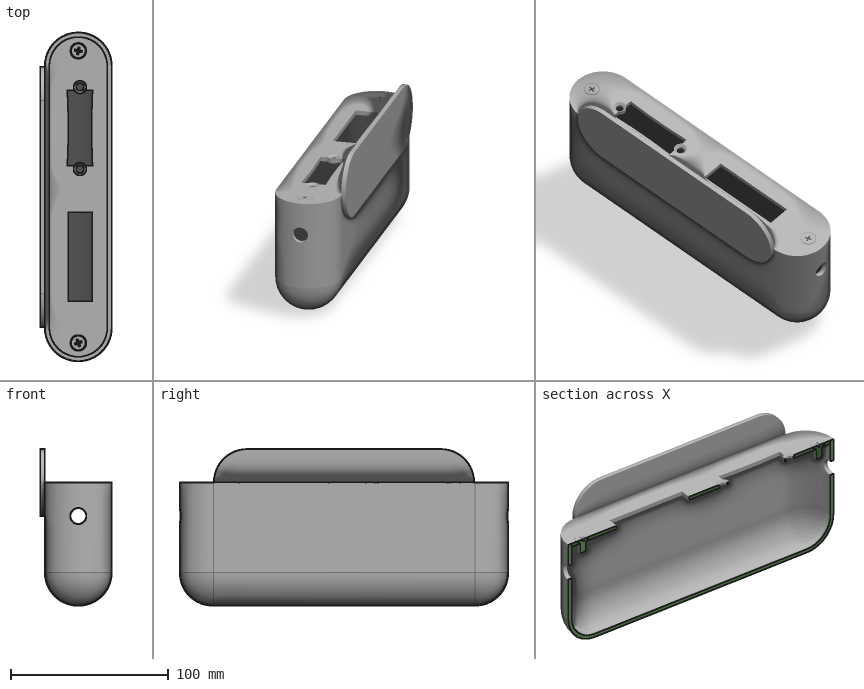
import cadquery as cq
import math

LENGTH = 208.5
RADIUS = 21.3
HEIGHT = 78.2
WALL = 3.0
END_Y = LENGTH / 2 - RADIUS
CAVITY_RADIUS = RADIUS - WALL
CABLE_HOLE_DIAMETER = 10.0

BACK_PLATE_LENGTH = 165.0
BACK_PLATE_HEIGHT = 2 * RADIUS

LATCH_OPENING_X = 1.0
LATCH_OPENING_Y = 43.5
LATCH_OPENING_WIDTH = 16.0
LATCH_OPENING_LENGTH = 48.0
LATCH_WAIST_DEPTH = 0.6
BOLT_OPENING_X = 1.3
BOLT_OPENING_Y = -38.0
BOLT_OPENING_WIDTH = 15.2
BOLT_OPENING_LENGTH = 56.7

EYE_SPACING = 52.0
EYE_BORE_DIAMETER = 5.0
EYE_SINK_DIAMETER = 8.0
EYE_RIM = 0.2

SCREW_Y = 92.5
SCREW_SINK_DIAMETER = 10.0
SCREW_HEAD_DIAMETER = 9.2
SCREW_SHANK_DIAMETER = 5.0
SCREW_LENGTH = 10.5
CROSS_SPAN = 4.5
CROSS_ARM_WIDTH = 1.0
CROSS_DEPTH = 1.7
CROSS_TAPER = 10.0
SCREW_TURNS = {SCREW_Y: -12.0, -SCREW_Y: 20.0}


def stadium(radius, thickness):
    """Flat slab below Z = 0 whose round ends share the housing's end centres."""
    return cq.Workplane("XY").slot2D(2 * (END_Y + radius), 2 * radius, 90).extrude(-thickness)


def rounded_trough(radius, height):
    """Solid with straight sides, round ends and a full-round bottom, flat at Z = 0."""
    straight_depth = height - radius
    arc_middle = radius * math.sqrt(0.5)
    half_section = (
        cq.Workplane("YZ")
        .lineTo(radius, 0)
        .lineTo(radius, -straight_depth)
        .threePointArc((arc_middle, -straight_depth - arc_middle), (0, -height))
        .close()
    )
    round_end = half_section.revolve(360, (0, 0, 0), (0, 1, 0))
    middle = (
        cq.Workplane("XZ")
        .moveTo(-radius, 0)
        .lineTo(radius, 0)
        .lineTo(radius, -straight_depth)
        .threePointArc((0, -height), (-radius, -straight_depth))
        .close()
        .extrude(END_Y, both=True)
    )
    return (
        middle
        .union(round_end.translate((0, END_Y, 0)))
        .union(round_end.translate((0, -END_Y, 0)))
    )


def countersunk_shape(sink_diameter, shank_diameter, depth):
    """45 degree countersink at Z = 0 narrowing to a straight shank, as a solid."""
    sink_radius = sink_diameter / 2
    shank_radius = shank_diameter / 2
    return (
        cq.Workplane("XZ")
        .lineTo(sink_radius, 0)
        .lineTo(shank_radius, shank_radius - sink_radius)
        .lineTo(shank_radius, -depth)
        .lineTo(0, -depth)
        .close()
        .revolve(360, (0, 0, 0), (0, 1, 0))
    )


def make_housing():
    """Hollow open-topped housing with a cable hole through both ends and a back plate."""
    shell = rounded_trough(RADIUS, HEIGHT).cut(rounded_trough(CAVITY_RADIUS, HEIGHT - WALL))
    cable_hole = (
        cq.Workplane("XZ")
        .center(0, -RADIUS)
        .circle(CABLE_HOLE_DIAMETER / 2)
        .extrude(LENGTH, both=True)
    )
    back_plate = (
        cq.Workplane("YZ")
        .workplane(offset=-RADIUS)
        .slot2D(BACK_PLATE_LENGTH, BACK_PLATE_HEIGHT)
        .extrude(-WALL)
    )
    return shell.cut(cable_hole).union(back_plate)


def latch_opening():
    """Opening with bowed long sides; a round lobe at each end is left for the eye holes."""
    half_width = LATCH_OPENING_WIDTH / 2
    half_length = LATCH_OPENING_LENGTH / 2
    waist = half_width - LATCH_WAIST_DEPTH
    lobes = (
        cq.Workplane("XY")
        .pushPoints([(0, EYE_SPACING / 2), (0, -EYE_SPACING / 2)])
        .circle(EYE_SINK_DIAMETER / 2 + EYE_RIM)
        .extrude(-WALL)
    )
    return (
        cq.Workplane("XY")
        .moveTo(-half_width, -half_length)
        .lineTo(half_width, -half_length)
        .threePointArc((waist, 0), (half_width, half_length))
        .lineTo(-half_width, half_length)
        .threePointArc((-waist, 0), (-half_width, -half_length))
        .close()
        .extrude(-WALL)
        .cut(lobes)
        .translate((LATCH_OPENING_X, LATCH_OPENING_Y, 0))
    )


def make_lid():
    """Flush lid with the latch and bolt openings, two eye holes and two screw holes."""
    bolt_opening = (
        cq.Workplane("XY")
        .center(BOLT_OPENING_X, BOLT_OPENING_Y)
        .rect(BOLT_OPENING_WIDTH, BOLT_OPENING_LENGTH)
        .extrude(-WALL)
    )
    lid = stadium(CAVITY_RADIUS, WALL).cut(latch_opening()).cut(bolt_opening)
    eye_hole = countersunk_shape(EYE_SINK_DIAMETER, EYE_BORE_DIAMETER, WALL)
    screw_hole = countersunk_shape(SCREW_SINK_DIAMETER, SCREW_SHANK_DIAMETER, WALL)
    for side in (1, -1):
        eye_y = LATCH_OPENING_Y + side * EYE_SPACING / 2
        lid = lid.cut(eye_hole.translate((LATCH_OPENING_X, eye_y, 0)))
        lid = lid.cut(screw_hole.translate((0, side * SCREW_Y, 0)))
    return lid


def make_screw(y, turn):
    """Countersunk screw with a cross recess; a narrow groove stays open around its head."""
    full_screw = countersunk_shape(SCREW_SINK_DIAMETER, SCREW_SHANK_DIAMETER, SCREW_LENGTH)
    head_limit = cq.Workplane("XY").circle(SCREW_HEAD_DIAMETER / 2).extrude(-SCREW_LENGTH)
    arm = (
        cq.Workplane("XY")
        .rect(CROSS_SPAN, CROSS_ARM_WIDTH)
        .extrude(-CROSS_DEPTH, taper=CROSS_TAPER)
        .rotate((0, 0, 0), (0, 0, 1), turn)
    )
    cross = arm.union(arm.rotate((0, 0, 0), (0, 0, 1), 90))
    return full_screw.intersect(head_limit).cut(cross).translate((0, y, 0))


housing = make_housing()
lid = make_lid()
screws = [make_screw(y, turn) for y, turn in SCREW_TURNS.items()]

result = cq.Compound.makeCompound([housing.val(), lid.val(), *[screw.val() for screw in screws]])